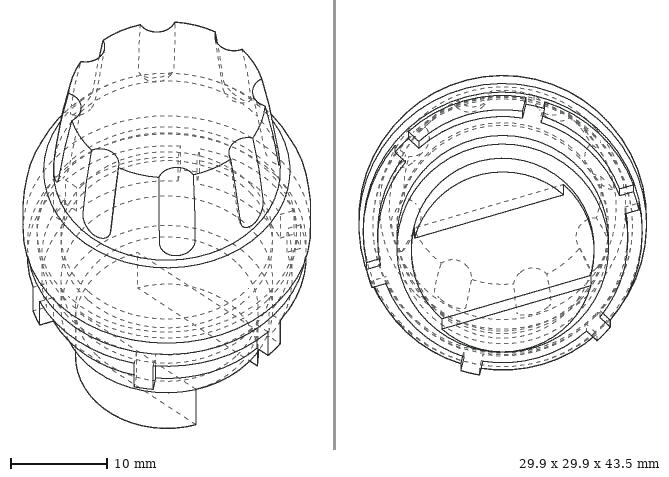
import cadquery as cq
import math

leg_slot_top_z = 6.0
shank_bottom_z = 8.0
ring_bottom_z = 13.0
flange_bottom_z = 17.0
flange_top_z = 19.0
lip_bottom_z = 20.5
bezel_bottom_z = 21.5
dome_start_z = 25.4
dome_top_z = 31.5
knob_top_z = 43.5

leg_radius = 9.5
shank_radius = 11.0
ring_radius = 13.0
flange_radius = 14.5
lip_radius = 13.5
bezel_radius = 14.95
dome_top_radius = 12.8

leg_slot_width = 10.0
tab_count = 6
tab_width = 2.0

knob_base_radius = 11.8
knob_top_radius = 10.25
knob_wall_bulge = 0.18
groove_count = 8
groove_radius = 2.0
groove_depth = 1.28
groove_end_height = 2.6


def dome_arc_middle():
    """Point (radius, z) halfway along the dome arc, which leaves the bezel wall vertically."""
    rise = dome_top_z - dome_start_z
    inset = bezel_radius - dome_top_radius
    arc_radius = (rise**2 + inset**2) / (2 * inset)
    half_angle = math.asin(rise / arc_radius) / 2
    return (
        bezel_radius - arc_radius * (1 - math.cos(half_angle)),
        dome_start_z + arc_radius * math.sin(half_angle),
    )


def make_turned_housing():
    return (
        cq.Workplane("XZ")
        .moveTo(0, 0)
        .lineTo(leg_radius, 0)
        .lineTo(leg_radius, shank_bottom_z)
        .lineTo(shank_radius, shank_bottom_z)
        .lineTo(shank_radius, ring_bottom_z)
        .lineTo(ring_radius, ring_bottom_z)
        .lineTo(ring_radius, flange_bottom_z)
        .lineTo(flange_radius, flange_bottom_z)
        .lineTo(flange_radius, flange_top_z)
        .lineTo(shank_radius, flange_top_z)
        .lineTo(shank_radius, lip_bottom_z)
        .lineTo(lip_radius, lip_bottom_z)
        .lineTo(lip_radius, bezel_bottom_z)
        .lineTo(bezel_radius, bezel_bottom_z)
        .lineTo(bezel_radius, dome_start_z)
        .threePointArc(dome_arc_middle(), (dome_top_radius, dome_top_z))
        .lineTo(0, dome_top_z)
        .close()
        .revolve(360, (0, 0), (0, 1))
    )


def make_tabs():
    """Radial bars that cross the ring and end flush with the flange rim."""
    tab_height = flange_bottom_z - ring_bottom_z
    base = cq.Workplane("XY").workplane(offset=ring_bottom_z)
    rim = base.circle(flange_radius).extrude(tab_height)
    bar = base.rect(2 * flange_radius, tab_width).extrude(tab_height)
    all_bars = bar
    for index in range(1, tab_count // 2):
        all_bars = all_bars.union(bar.rotate((0, 0, 0), (0, 0, 1), index * 360 / tab_count))
    return all_bars.intersect(rim)


def make_leg_slot():
    return cq.Workplane("XY").rect(2 * bezel_radius, leg_slot_width).extrude(leg_slot_top_z)


def make_housing():
    return make_turned_housing().union(make_tabs()).cut(make_leg_slot())


def make_knob_blank():
    """Tapered knob whose wall bulges slightly outwards."""
    wall_middle = (
        (knob_base_radius + knob_top_radius) / 2 + knob_wall_bulge,
        (dome_top_z + knob_top_z) / 2,
    )
    return (
        cq.Workplane("XZ")
        .moveTo(0, dome_top_z)
        .lineTo(knob_base_radius, dome_top_z)
        .threePointArc(wall_middle, (knob_top_radius, knob_top_z))
        .lineTo(0, knob_top_z)
        .close()
        .revolve(360, (0, 0), (0, 1))
    )


def make_groove_cutter():
    """Round bar with a ball end, leaning inwards like the knob wall."""
    lean = (knob_base_radius - knob_top_radius) / (knob_top_z - dome_top_z)
    groove_end_z = dome_top_z + groove_end_height
    axis_radius_at_top = knob_top_radius + groove_radius - groove_depth
    axis_radius_at_end = axis_radius_at_top + lean * (knob_top_z - groove_end_z)
    end_centre = cq.Vector(axis_radius_at_end, 0, groove_end_z)
    axis_direction = cq.Vector(-lean, 0, 1)
    bar_length = knob_top_z - groove_end_z + groove_radius
    bar = cq.Solid.makeCylinder(groove_radius, bar_length, end_centre, axis_direction)
    ball = cq.Workplane("XY").sphere(groove_radius).translate(end_centre)
    return ball.union(cq.Workplane(bar))


def make_knob():
    knob = make_knob_blank()
    cutter = make_groove_cutter()
    for index in range(groove_count):
        knob = knob.cut(cutter.rotate((0, 0, 0), (0, 0, 1), index * 360 / groove_count))
    return knob


housing = make_housing()
knob = make_knob()

result = cq.Compound.makeCompound([housing.solids().val(), knob.solids().val()])